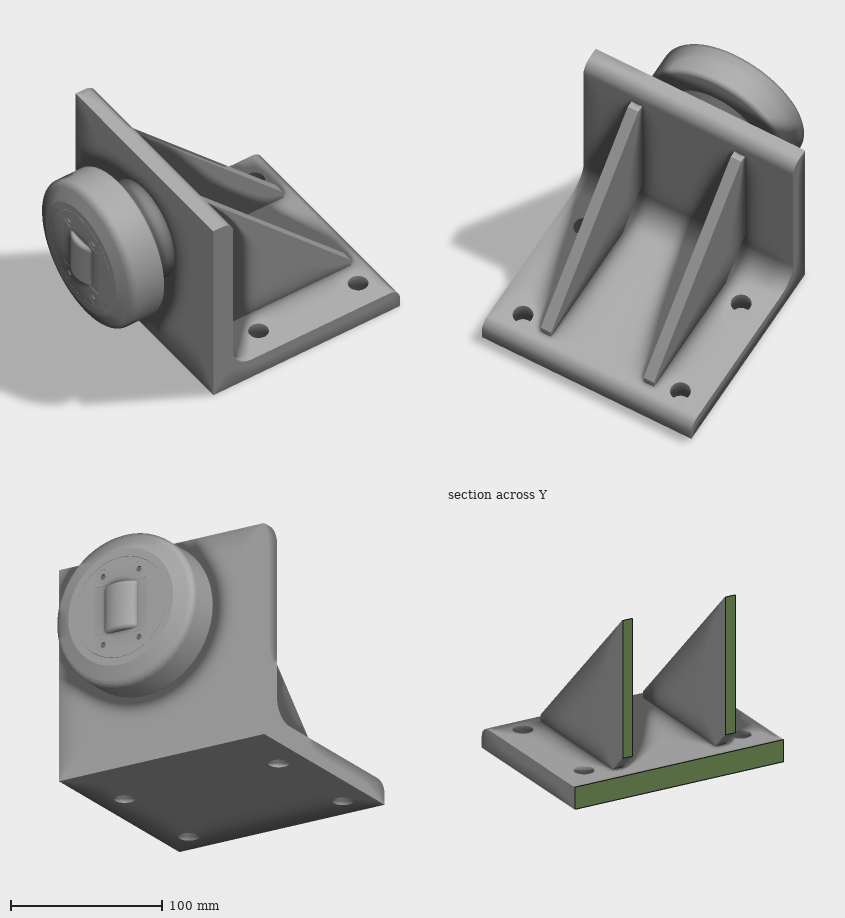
import cadquery as cq

bracket_width = 160.0
leg_length = 150.0
leg_thickness = 16.0
inner_radius = 15.2
tip_radius = 8.5

rib_thickness = 8.0
rib_inner_gap = 70.5
rib_reach = 135.8
rib_end_height = 5.0
rib_corner_cut = 41.5

hole_diameter = 13.7
hole_spacing_x = 120.2
hole_first_y = 50.0
hole_spacing_y = 80.0

axis_height = 90.0
neck_diameter = 71.0
neck_end_diameter = 70.5
neck_end_length = 0.6
roller_diameter = 107.5
roller_back = 19.9
roller_face = 50.9
roller_face_diameter = 81.8
cone_length = 5.0
back_radius = 2.9
front_radius = 5.1

cap_diameter = 70.5
cap_gap_depth = 2.0
insert_width = 40.0
insert_height = 35.0
insert_corner_radius = 1.5
flush_step = 0.2
screw_diameter = 10.0
screw_spacing_x = 27.9
screw_spacing_z = 48.5
socket_diameter = 4.5
socket_depth = 2.0

side_roller_reach = 55.2
side_roller_radius = 19.7
side_roller_length = 34.0
side_roller_edge_radius = 2.5


def make_bracket():
    """L-shaped plate with rounded tips and a rounded inner corner."""
    profile = (
        cq.Workplane("YZ")
        .polyline([
            (0, 0),
            (leg_length, 0),
            (leg_length, leg_thickness),
            (leg_thickness, leg_thickness),
            (leg_thickness, leg_length),
            (0, leg_length),
        ])
        .close()
        .extrude(bracket_width / 2, both=True)
    )
    inner_corner = cq.selectors.NearestToPointSelector((0, leg_thickness, leg_thickness))
    tip_of_base = cq.selectors.NearestToPointSelector((0, leg_length, leg_thickness))
    tip_of_wall = cq.selectors.NearestToPointSelector((0, leg_thickness, leg_length))
    plate = profile.edges(inner_corner).fillet(inner_radius)
    plate = plate.edges(tip_of_base).fillet(tip_radius)
    plate = plate.edges(tip_of_wall).fillet(tip_radius)
    hole_middle_y = hole_first_y + hole_spacing_y / 2
    holes = (
        cq.Workplane("XY")
        .center(0, hole_middle_y)
        .rarray(hole_spacing_x, hole_spacing_y, 2, 2)
        .circle(hole_diameter / 2)
        .extrude(leg_thickness)
    )
    return plate.cut(holes)


def make_rib(center_x):
    """Diagonal web with its inner corner cut clear of the bracket radius."""
    rib_end = leg_thickness + rib_end_height
    return (
        cq.Workplane("YZ", origin=(center_x, 0, 0))
        .polyline([
            (rib_corner_cut, leg_thickness),
            (rib_reach, leg_thickness),
            (rib_reach, rib_end),
            (rib_end, rib_reach),
            (leg_thickness, rib_reach),
            (leg_thickness, rib_corner_cut),
        ])
        .close()
        .extrude(rib_thickness / 2, both=True)
    )


def face_plane(distance):
    """Workplane on the roller axis, facing outward at this distance."""
    return cq.Workplane("XZ", origin=(0, -distance, axis_height))


def make_neck():
    """Neck with a slightly smaller band at each end."""
    ends = face_plane(0).circle(neck_end_diameter / 2).extrude(roller_back)
    middle_length = roller_back - 2 * neck_end_length
    middle = face_plane(neck_end_length).circle(neck_diameter / 2).extrude(middle_length)
    return ends.union(middle)


def make_roller():
    """Wheel with a rounded back edge and a conical front."""
    body_length = roller_face - roller_back - cone_length
    face_radius = roller_face_diameter / 2
    outer_radius = roller_diameter / 2
    wheel = (
        cq.Workplane("XY", origin=(0, -roller_back, axis_height))
        .polyline([
            (0, 0),
            (outer_radius, 0),
            (outer_radius, -body_length),
            (face_radius, -body_length - cone_length),
            (0, -body_length - cone_length),
        ])
        .close()
        .revolve(360, (0, 0, 0), (0, 1, 0))
    )
    rims = wheel.edges(cq.selectors.RadiusNthSelector(-1))
    wheel = rims.edges(">Y").fillet(back_radius)
    front_rim = wheel.edges(cq.selectors.RadiusNthSelector(-1)).edges("<Y")
    return front_rim.fillet(front_radius)


def cut_face_details(wheel):
    """Ring gap around the cap, insert outline and four socket screws."""
    ring_gap = (
        face_plane(roller_face)
        .circle(neck_diameter / 2)
        .circle(cap_diameter / 2)
        .extrude(-cap_gap_depth)
    )
    insert = (
        face_plane(roller_face)
        .rect(insert_width, insert_height)
        .extrude(-flush_step)
        .edges("|Y")
        .fillet(insert_corner_radius)
    )
    screws = face_plane(roller_face).rarray(screw_spacing_x, screw_spacing_z, 2, 2)
    heads = screws.circle(screw_diameter / 2).extrude(-flush_step)
    sockets = screws.polygon(6, socket_diameter).extrude(-socket_depth)
    return wheel.cut(ring_gap).cut(insert).cut(heads).cut(sockets)


def make_side_roller():
    """Part of the small roller that stands out of the wheel face."""
    center_y = side_roller_radius - side_roller_reach
    bottom_z = axis_height - side_roller_length / 2
    return (
        cq.Workplane("XY", origin=(0, center_y, bottom_z))
        .circle(side_roller_radius)
        .extrude(side_roller_length)
        .edges()
        .fillet(side_roller_edge_radius)
        .intersect(
            face_plane(roller_back)
            .rect(roller_diameter, roller_diameter)
            .extrude(side_roller_reach - roller_back)
        )
    )


result = make_bracket()
rib_offset = (rib_inner_gap + rib_thickness) / 2
for side in (-1, 1):
    result = result.union(make_rib(side * rib_offset))
result = result.union(make_neck())
result = result.union(cut_face_details(make_roller()))
result = result.union(make_side_roller())